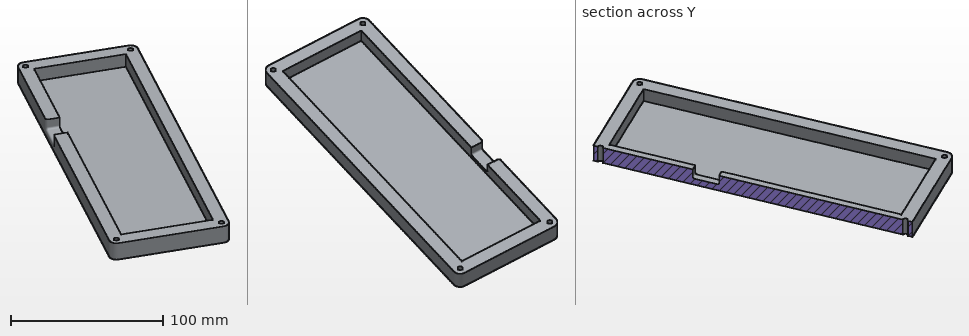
import cadquery as cq

LENGTH = 224.76
WIDTH = 81.89
HEIGHT = 13.0
CORNER_RADIUS = 5.0
RIM = 9.5
FLOOR_THICKNESS = 3.0

HOLE_DIAMETER = 3.4
HOLE_INSET = 5.0

NOTCH_CENTER_X = -33.0
NOTCH_WIDTH = 18.5
NOTCH_FLOOR_Z = 5.5
NOTCH_FILLET = 1.5

FRONT_Y = -WIDTH / 2


def tray_body():
    """Rounded block with a sharp-cornered rectangular cavity open at the top."""
    block = cq.Workplane("XY").box(LENGTH, WIDTH, HEIGHT, centered=(True, True, False))
    block = block.edges("|Z").fillet(CORNER_RADIUS)
    cavity = (
        cq.Workplane("XY")
        .workplane(offset=FLOOR_THICKNESS)
        .rect(LENGTH - 2 * RIM, WIDTH - 2 * RIM)
        .extrude(HEIGHT - FLOOR_THICKNESS)
    )
    return block.cut(cavity)


def cut_notch(body):
    """Square notch through the front rim, from its floor up to the top face."""
    notch = (
        cq.Workplane("XY")
        .box(NOTCH_WIDTH, RIM, HEIGHT - NOTCH_FLOOR_Z, centered=(True, False, False))
        .translate((NOTCH_CENTER_X, FRONT_Y, NOTCH_FLOOR_Z))
    )
    return body.cut(notch)


def round_notch(body):
    """Round the mouth on the front face, then the corners between floor and walls.

    The order matters: the mouth keeps square lower corners, and the floor
    fillets run out into them.
    """
    reach = NOTCH_WIDTH / 2 + NOTCH_FILLET
    margin = NOTCH_FILLET / 2
    low_corner = (NOTCH_CENTER_X - reach, FRONT_Y - margin, NOTCH_FLOOR_Z - margin)
    mouth = cq.selectors.BoxSelector(low_corner, (NOTCH_CENTER_X + reach, FRONT_Y + margin, HEIGHT - margin))
    body = body.edges(mouth).fillet(NOTCH_FILLET)

    floor = cq.selectors.BoxSelector(low_corner, (NOTCH_CENTER_X + reach, FRONT_Y + RIM, NOTCH_FLOOR_Z + margin))
    return body.edges(floor).edges("|Y").fillet(NOTCH_FILLET)


def screw_holes():
    """Vertical holes through the full height, one in each corner."""
    return (
        cq.Workplane("XY")
        .rect(LENGTH - 2 * HOLE_INSET, WIDTH - 2 * HOLE_INSET, forConstruction=True)
        .vertices()
        .circle(HOLE_DIAMETER / 2)
        .extrude(HEIGHT)
    )


tray = cut_notch(tray_body())
tray = round_notch(tray)
result = tray.cut(screw_holes())